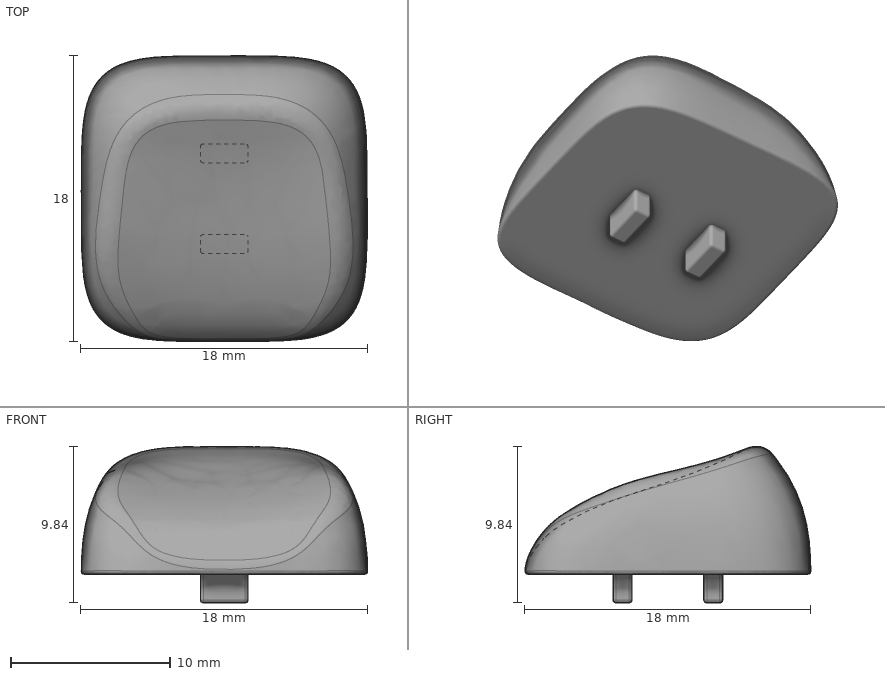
import cadquery as cq
import math


cap_half_x = 8.985
cap_half_y = 8.98
wall_height = 9.3
base_squareness = 4.45
top_squareness = 3.25
square_lean = 0.016
cubic_lean = 0.0035
front_lean = 0.095
wall_levels = 10
outline_points = 48

base_round = 0.2
rim_radius = 1.3

dish_centre_line = [
    (-9.45, -0.6),
    (-9.0, 0.52),
    (-8.27, 1.68),
    (-7.53, 2.5),
    (-6.42, 3.27),
    (-3.83, 4.5),
    (-0.5, 5.62),
    (2.3, 6.64),
    (5.1, 7.97),
    (9.5, 10.3),
]
dish_half_width = 6.4
dish_rise = 0.66
dish_fade_start = -0.5
dish_fade_end = 7.0
dish_reach = 10.5
dish_columns = 9
dish_tolerance = 0.01
cutter_height = 15.0

leg_width = 3.0
leg_thickness = 1.2
leg_spacing = 5.7
leg_length = 1.8
leg_edge_radius = 0.2
leg_overlap = 0.5


def signed_power(value, power):
    return math.copysign(abs(value) ** power, value)


def wall_outline(z):
    """Closed superellipse outline of the cap at height z."""
    lean = square_lean * z**2 + cubic_lean * z**3
    half_x = cap_half_x - lean
    half_rear = cap_half_y - lean
    half_front = cap_half_y - front_lean * z**2
    remaining = 1 - z / wall_height
    squareness = top_squareness + (base_squareness - top_squareness) * remaining**2
    power = 2 / squareness
    points = []
    for i in range(outline_points):
        angle = 2 * math.pi * i / outline_points
        half_y = half_rear if math.sin(angle) > 0 else half_front
        x = half_x * signed_power(math.cos(angle), power)
        y = half_y * signed_power(math.sin(angle), power)
        points.append(cq.Vector(x, y, z))
    return cq.Wire.assembleEdges([cq.Edge.makeSpline(points, periodic=True)])


def make_walls():
    levels = [wall_height * i / (wall_levels - 1) for i in range(wall_levels)]
    return cq.Workplane(cq.Solid.makeLoft([wall_outline(z) for z in levels]))


def rise_at(y):
    """Rise of the dish sides: full at the front, fading linearly to zero at the rear."""
    fade = (dish_fade_end - y) / (dish_fade_end - dish_fade_start)
    return dish_rise * max(0, min(1, fade))


def make_dish_cutter():
    """Everything above the dish surface, leaning forward to clear the steep front."""
    grid = []
    for i in range(dish_columns):
        x = dish_reach * (2 * i / (dish_columns - 1) - 1)
        bow = (x / dish_half_width) ** 2
        grid.append([cq.Vector(x, y, z + rise_at(y) * bow) for y, z in dish_centre_line])
    surface = cq.Face.makeSplineApprox(grid, tol=dish_tolerance, minDeg=3, maxDeg=6)
    sweep = cq.Vector(0, -cutter_height, cutter_height)
    return cq.Workplane(cq.Solid.extrudeLinear(surface, sweep))


def make_cap():
    cap = make_walls().cut(make_dish_cutter())
    rim_box = cq.selectors.BoxSelector(
        (-cap_half_x, -cap_half_y, base_round),
        (cap_half_x, cap_half_y, wall_height),
    )
    seam = cq.selectors.BoxSelector(
        (cap_half_x / 2, -cap_half_y, base_round),
        (cap_half_x, cap_half_y, wall_height),
    )
    cap = cap.edges(rim_box - seam).fillet(rim_radius)
    return cap.faces("<Z").edges().fillet(base_round)


def make_leg(y):
    leg = cq.Workplane().box(
        leg_width, leg_thickness, leg_length + leg_overlap, centered=(True, True, False)
    )
    leg = leg.edges("|Z or <Z").fillet(leg_edge_radius)
    return leg.translate((0, y, -leg_length))


result = make_cap()
for leg_y in (-leg_spacing / 2, leg_spacing / 2):
    result = result.union(make_leg(leg_y))